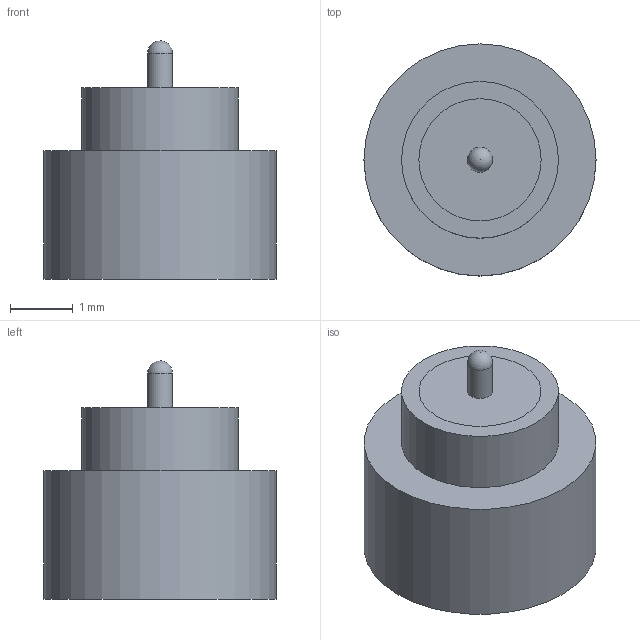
import cadquery as cq

body_diameter = 3.7
body_height = 2.05
collar_diameter = 2.5
collar_height = 1.0
insert_diameter = 1.95
pin_diameter = 0.4
pin_length = 0.75

pin_radius = pin_diameter / 2
collar_top = body_height + collar_height
pin_shank_length = pin_length - pin_radius


def cylinder(diameter, height, base_z):
    """Vertical cylinder on the part axis, standing on base_z."""
    return cq.Workplane("XY").workplane(offset=base_z).circle(diameter / 2).extrude(height)


def make_collar():
    """Tubular collar that surrounds the insert."""
    bore = cylinder(insert_diameter, collar_height, body_height)
    return cylinder(collar_diameter, collar_height, body_height).cut(bore)


def make_insert():
    """Disc that fills the collar flush with its top face."""
    return cylinder(insert_diameter, collar_height, body_height)


def make_pin():
    """Centre pin with a hemispherical tip."""
    shank = cylinder(pin_diameter, pin_shank_length, collar_top)
    tip_center = (0, 0, collar_top + pin_shank_length)
    tip = cq.Workplane("XY").sphere(pin_radius, angle1=0).translate(tip_center)
    return shank.union(tip, clean=False)


body = cylinder(body_diameter, body_height, 0)
result = body.union(make_collar(), clean=False)
result = result.union(make_insert(), clean=False)
result = result.union(make_pin(), clean=False)